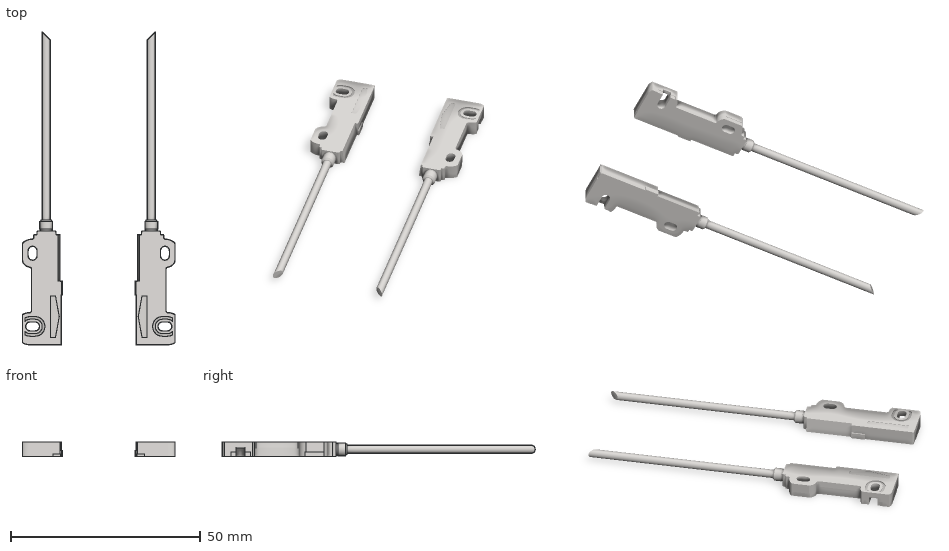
import cadquery as cq
import math


PAIR_WIDTH = 40.38
TOTAL_LENGTH = 82.75
HEIGHT = 3.92

WALL_X = 2.35
INNER_X = 10.3
SLIM_X = 10.0
SLIM_START_Y = 16.85
SHOULDER_Y = 29.15
SHOULDER_X = 3.0
SHOULDER_ROUND = 0.3
CAP_Y = 30.1
CAP_X = (3.8, 8.9)
CAP_ROUND = 0.4
PARTING_Z = 2.3
WALL_LEAN = 0.12
SLIM_LEAN = 0.57

SLOT_X = 2.7
SLOT_LENGTH = 3.6
SLOT_WIDTH = 2.3
FRONT_SLOT_Y = 4.85
REAR_SLOT_Y = 24.2
FRONT_EAR_Y = (0, 8.5)
REAR_EAR_Y = (20.45, 27.95)
EAR_ROOT_X = 4.0
EAR_FILLET = 0.4
FRONT_EAR_ROUND = (1.75, 0.55)
REAR_EAR_LOW_ROUND = (WALL_X, 1.65)
REAR_EAR_HIGH_ROUND = (2.7, 1.1)
RELIEF_HEIGHT = 1.3
RELIEF_DEPTH = 0.1

GROOVE_INNER_OFFSET = 0.75
GROOVE_OUTER_OFFSET = 1.45
GROOVE_START_X = 0.67
GROOVE_DEPTH = 0.3

MARK_X = (7.45, 8.75, 9.75)
MARK_Y = (1.95, 12.95)
MARK_DEPTH = 0.1

TAB_REACH = 0.3
TAB_Y = (13.2, SLIM_START_Y)
TAB_HEIGHT = 1.6
CORNER_CHAMFER = 0.35
CORNER_CHAMFER_TOP = HEIGHT - 0.3
END_STEP_X = 8.05
END_STEP_HEIGHT = 0.75
END_STEP_DEPTH = 0.1

CABLE_X = 6.3
CABLE_RADIUS = 1.1
COLLAR_RADIUS = 1.72
COLLAR_CHAMFER = 0.45
COLLAR_END_Y = 33.0
NECK_RADIUS = 1.62
NECK_END_Y = 30.65
CABLE_Z = HEIGHT / 2


def block(x_range, y_range, z_range):
    """Box spanning the three given ranges."""
    size = [high - low for low, high in (x_range, y_range, z_range)]
    corner = (x_range[0], y_range[0], z_range[0])
    return cq.Workplane("XY").box(*size, centered=False).translate(corner)


def prism_along_y(points_xz, y_range):
    """Polygon in X and Z, extruded over a range of Y."""
    length = y_range[1] - y_range[0]
    profile = cq.Workplane("XZ", origin=(0, y_range[0], 0)).polyline(points_xz).close()
    return profile.extrude(-length)


def main_block():
    """Long housing body with its shoulders and rear cap, without the ears."""
    front = block((WALL_X, INNER_X), (0, SLIM_START_Y), (0, HEIGHT))
    rear = block((WALL_X, SLIM_X), (SLIM_START_Y, REAR_SLOT_Y), (0, HEIGHT))
    shoulder = block((SHOULDER_X, SLIM_X), (REAR_SLOT_Y, SHOULDER_Y), (0, HEIGHT))
    shoulder = shoulder.edges("|Z and <X and >Y").fillet(SHOULDER_ROUND)
    cap = block(CAP_X, (REAR_SLOT_Y, CAP_Y), (0, HEIGHT)).edges("|Z and >Y").fillet(CAP_ROUND)
    tab = block((WALL_X, INNER_X + TAB_REACH), TAB_Y, (0, TAB_HEIGHT))
    return front.union(rear).union(shoulder).union(cap).union(tab)


def lean_walls(body):
    """Lean the outer wall inward above the parting height and the slim inner wall from its foot."""
    outer = [(WALL_X, PARTING_Z), (WALL_X + WALL_LEAN, HEIGHT), (WALL_X, HEIGHT)]
    inner = [(SLIM_X, 0), (SLIM_X, HEIGHT), (SLIM_X - SLIM_LEAN, HEIGHT)]
    body = body.cut(prism_along_y(outer, (FRONT_EAR_Y[1] + EAR_FILLET, REAR_EAR_Y[0] - EAR_FILLET)))
    return body.cut(prism_along_y(inner, (SLIM_START_Y, SHOULDER_Y)))


def ear(low_y, high_y, low_round, high_round):
    """Ear between two heights in Y, with an arc of given (run, drop) across each outer corner."""
    low_run, low_drop = low_round
    high_run, high_drop = high_round
    low_mid = arc_middle(low_run, low_drop)
    high_mid = arc_middle(high_run, high_drop)
    outline = (
        cq.Workplane("XY")
        .moveTo(EAR_ROOT_X, low_y)
        .lineTo(low_run, low_y)
        .threePointArc((low_mid[0], low_y + low_mid[1]), (0, low_y + low_drop))
        .lineTo(0, high_y - high_drop)
        .threePointArc((high_mid[0], high_y - high_mid[1]), (high_run, high_y))
        .lineTo(EAR_ROOT_X, high_y)
        .close()
    )
    return outline.extrude(HEIGHT)


def arc_middle(run, drop):
    """Middle of an arc that leaves a straight end tangentially and reaches x = 0 after the drop.

    Returned as (x, distance from the straight end).
    """
    radius = (run**2 + drop**2) / (2 * drop)
    half_angle = math.atan2(drop, run)
    return run - radius * math.sin(half_angle), radius * (1 - math.cos(half_angle))


def blend_ears(body):
    """Round the inner corners where the ears meet the long wall and the shoulder."""
    for x, y in ((WALL_X, FRONT_EAR_Y[1]), (WALL_X, REAR_EAR_Y[0]), (SHOULDER_X, REAR_EAR_Y[1])):
        body = body.edges(cq.selectors.NearestToPointSelector((x, y, HEIGHT / 2))).fillet(EAR_FILLET)
    return body


def slot(y, angle, offset, z_range):
    """Mounting-slot shape enlarged all round by an offset."""
    length = SLOT_LENGTH + 2 * offset
    width = SLOT_WIDTH + 2 * offset
    plane = cq.Workplane("XY", origin=(SLOT_X, y, z_range[0]))
    return plane.slot2D(length, width, angle).extrude(z_range[1] - z_range[0])


def cut_slots(body):
    """Cut both through slots and open the lower part of the front one to the outer face."""
    body = body.cut(slot(FRONT_SLOT_Y, 0, 0, (0, HEIGHT)))
    body = body.cut(slot(REAR_SLOT_Y, 90, 0, (0, HEIGHT)))
    half = SLOT_WIDTH / 2
    mouth = block((0, SLOT_X), (FRONT_SLOT_Y - half, FRONT_SLOT_Y + half), (0, PARTING_Z))
    return body.cut(mouth)


def cut_ear_reliefs(body):
    """Set back the lower part of both ears' outer faces."""
    half_front = SLOT_WIDTH / 2 + GROOVE_OUTER_OFFSET
    front_range = (FRONT_SLOT_Y - half_front, FRONT_SLOT_Y + half_front)
    for y_range in (front_range, REAR_EAR_Y):
        body = body.cut(block((0, RELIEF_DEPTH), y_range, (0, RELIEF_HEIGHT)))
    return body


def slot_groove():
    """C-shaped groove around the front slot, ending short of the outer face."""
    z_range = (HEIGHT - GROOVE_DEPTH, HEIGHT)
    ring = slot(FRONT_SLOT_Y, 0, GROOVE_OUTER_OFFSET, z_range)
    ring = ring.cut(slot(FRONT_SLOT_Y, 0, GROOVE_INNER_OFFSET, z_range))
    return ring.intersect(block((GROOVE_START_X, INNER_X), FRONT_EAR_Y, z_range))


def top_mark():
    """Five-sided mark with its tip toward the inner wall."""
    base_x, side_x, tip_x = MARK_X
    low_y, high_y = MARK_Y
    tip_y = (low_y + high_y) / 2
    points = [(base_x, low_y), (side_x, low_y), (tip_x, tip_y), (side_x, high_y), (base_x, high_y)]
    return cq.Workplane("XY", origin=(0, 0, HEIGHT - MARK_DEPTH)).polyline(points).close().extrude(MARK_DEPTH)


def cut_end_details(body):
    """Bevel the inner corner of the free end and step back its lower edge."""
    corner = [(INNER_X - CORNER_CHAMFER, 0), (INNER_X, 0), (INNER_X, CORNER_CHAMFER)]
    body = body.cut(cq.Workplane("XY").polyline(corner).close().extrude(CORNER_CHAMFER_TOP))
    return body.cut(block((END_STEP_X, INNER_X), (0, END_STEP_DEPTH), (0, END_STEP_HEIGHT)))


def cable():
    """Cable and chamfered collar, turned about the cable axis, with a 45 degree end cut."""
    profile = [
        (0, SHOULDER_Y),
        (NECK_RADIUS, SHOULDER_Y),
        (NECK_RADIUS, NECK_END_Y),
        (COLLAR_RADIUS, NECK_END_Y),
        (COLLAR_RADIUS, COLLAR_END_Y - COLLAR_CHAMFER),
        (COLLAR_RADIUS - COLLAR_CHAMFER, COLLAR_END_Y),
        (CABLE_RADIUS, COLLAR_END_Y),
        (CABLE_RADIUS, TOTAL_LENGTH),
        (0, TOTAL_LENGTH),
    ]
    plane = cq.Plane(origin=(CABLE_X, 0, CABLE_Z), xDir=(0, 0, 1), normal=(-1, 0, 0))
    turned = cq.Workplane(plane).polyline(profile).close()
    turned = turned.revolve(360, (0, 0, 0), (0, 1, 0))
    left = CABLE_X - CABLE_RADIUS
    right = CABLE_X + CABLE_RADIUS
    end_cut = [(left, TOTAL_LENGTH), (right, TOTAL_LENGTH), (right, TOTAL_LENGTH - 2 * CABLE_RADIUS)]
    return turned.cut(cq.Workplane("XY").polyline(end_cut).close().extrude(HEIGHT))


def sensor():
    """One complete sensor with its cable."""
    front_ear = ear(*FRONT_EAR_Y, FRONT_EAR_ROUND, FRONT_EAR_ROUND)
    rear_ear = ear(*REAR_EAR_Y, REAR_EAR_LOW_ROUND, REAR_EAR_HIGH_ROUND)
    body = blend_ears(main_block().union(front_ear).union(rear_ear))
    body = lean_walls(body)
    body = cut_slots(body)
    body = cut_ear_reliefs(body)
    body = body.cut(slot_groove()).cut(top_mark())
    body = cut_end_details(body)
    return body.union(cable())


left_sensor = sensor().translate((-PAIR_WIDTH / 2, 0, 0))
right_sensor = left_sensor.mirror("YZ")

result = cq.Compound.makeCompound([left_sensor.val(), right_sensor.val()])